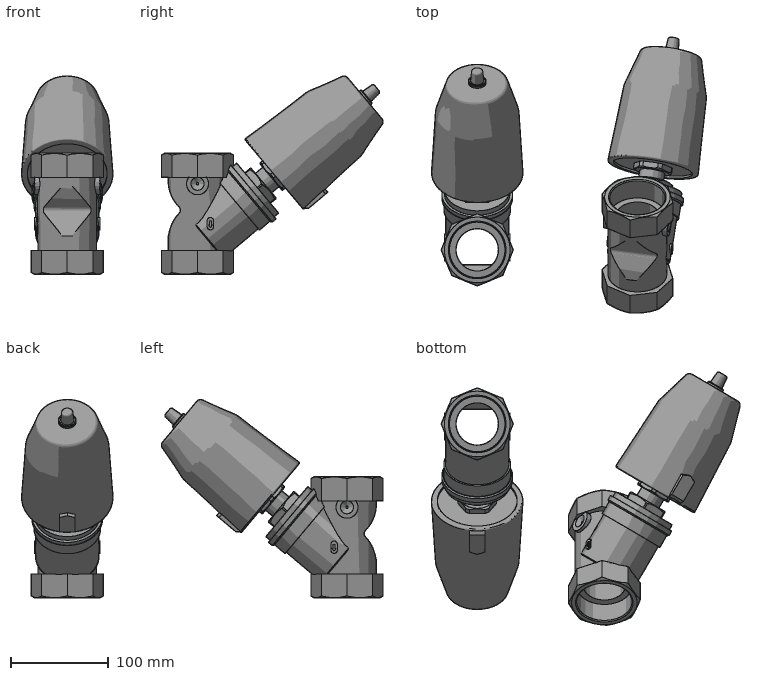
import cadquery as cq
import math


body_height = 124.0
pipe_radius = 30.2
bore_diameter = 43.0
socket_diameter = 56.7
socket_depth = 23.1
socket_chamfer = 1.1
end_nut_sides = 8
end_nut_height = 24.7
end_nut_radius = 37.0
end_nut_face_radius = 33.5
nut_chamfer_angle = 30.0

waist_height = 65.8
waist_depth_y = -17.7
waist_root_y = -19.0
waist_root_half = 3.5
waist_upper_radius = 38.3
waist_lower_middle = (-26.5, 51.0)
waist_lower_end = (-29.7, 39.2)
hump_radius = 27.2
hump_peak_y = -15.0

boss_diameter = 22.5
boss_height = 92.8
boss_reach = 33.3
dimple_diameter = 13.4
dimple_tip_diameter = 1.0
dimple_depth = 3.6

pad_width = 6.5
pad_length = 12.7
pad_y = 13.2
pad_height = 52.0
pad_reach = 33.5
arrow_depth = 0.7
arrow_shaft_width = 2.0
arrow_head_width = 4.3
arrow_tail = 3.0
arrow_neck = -1.1
arrow_tip = -4.0

lean_angle = 40.0
lean_height = 36.7
lean = cq.Plane(
    origin=(0, 0, lean_height),
    xDir=(1, 0, 0),
    normal=(0, math.cos(math.radians(lean_angle)), math.sin(math.radians(lean_angle))),
)

hexagon_sides = 6
branch_start = 7.0
branch_radius = 32.5
branch_chamfer = 1.0
neck_start = 54.0
neck_radius = 34.2
ring_start = 68.0
ring_end = 74.5
ring_radius = 36.3
ring_chamfer = 1.4
flange_end = 80.3
flange_diameter = 67.0
bonnet_nut_end = 88.2
bonnet_nut_flats = 40.8
bonnet_nut_corner_radius = 23.1
bonnet_nut_face_radius = 19.7
stem_diameter = 26.0

actuator_start = 102.0
actuator_joint = 182.8
actuator_end = 223.5
rim_radius = 47.0
joint_radius = 42.9
top_radius = 31.0
rim_fillet = 1.4
joint_fillet = 10.2
top_fillet = 5.0
recess_diameter = 81.6
recess_depth = 2.3
lower_nut_start = 98.0
lower_nut_flats = 36.3
lower_nut_corner_radius = 19.7
lower_nut_face_radius = 17.5

lug_half_width = 8.0
lug_side_end = 129.5
lug_point_end = 132.7
lug_reach = 49.5
lug_chamfer = 4.5

collar_diameter = 18.1
collar_end = 226.1
collar_chamfer = 0.7
pin_end = 239.5
pin_root_radius = 7.0
pin_tip_radius = 5.7
pin_fillet = 2.3


def leaning_disc(start, end, radius):
    """Cylinder on the leaning axis between two distances along it."""
    return cq.Workplane(lean).workplane(offset=start).circle(radius).extrude(end - start)


def chamfered_prism(sides, corner_radius, height, face_radius, limit_radius):
    """Prism standing on XY, its upper corners turned down by a cone."""
    prism = cq.Workplane("XY").polygon(sides, 2 * corner_radius).extrude(height)
    drop = (limit_radius - face_radius) * math.tan(math.radians(nut_chamfer_angle))
    blank = (
        cq.Workplane("XZ")
        .moveTo(0, 0)
        .lineTo(limit_radius, 0)
        .lineTo(limit_radius, height - drop)
        .lineTo(face_radius, height)
        .lineTo(0, height)
        .close()
        .revolve(360, (0, 0, 0), (0, 1, 0))
    )
    return prism.intersect(blank)


def on_lean(solid, distance):
    """Move a solid standing on XY to a distance along the leaning axis."""
    location = cq.Location(lean) * cq.Location(cq.Vector(0, 0, distance))
    return cq.Workplane(solid.val().moved(location))


def make_pipe():
    """Solid pipe and the octagonal nuts at its two ends."""
    pipe = cq.Workplane("XY").circle(pipe_radius).extrude(body_height)
    nut = chamfered_prism(
        end_nut_sides, end_nut_radius, end_nut_height, end_nut_face_radius, end_nut_radius
    )
    upper_nut = nut.translate((0, 0, body_height - end_nut_height))
    lower_nut = nut.mirror("XY").translate((0, 0, end_nut_height))
    return pipe, upper_nut.union(lower_nut)


def make_waist():
    """Prism along X that cuts the waist; two bulging flanks meet in a rounded root."""
    outside_y = -2 * pipe_radius
    root_top = waist_height + waist_root_half
    root_bottom = waist_height - waist_root_half
    flank_drop = math.sqrt(waist_upper_radius**2 - (waist_upper_radius - pipe_radius - waist_root_y) ** 2)
    flank_top = root_top + flank_drop
    middle_drop = flank_drop / 2
    flank_middle_y = waist_upper_radius - pipe_radius - math.sqrt(waist_upper_radius**2 - middle_drop**2)
    return (
        cq.Workplane("YZ")
        .moveTo(outside_y, flank_top)
        .lineTo(-pipe_radius, flank_top)
        .threePointArc((flank_middle_y, flank_top - middle_drop), (waist_root_y, root_top))
        .threePointArc((waist_depth_y, waist_height), (waist_root_y, root_bottom))
        .threePointArc(waist_lower_middle, waist_lower_end)
        .lineTo(outside_y, waist_lower_end[1])
        .close()
        .extrude(pipe_radius, both=True)
    )


def make_bore():
    """Through bore with a threaded socket at each end; a hump narrows the bore at the waist."""
    bore = cq.Workplane("XY").circle(bore_diameter / 2).extrude(body_height)
    hump = (
        cq.Workplane("YZ")
        .center(hump_peak_y - hump_radius, waist_height)
        .circle(hump_radius)
        .extrude(pipe_radius, both=True)
    )
    bore = bore.cut(hump)
    socket = (
        cq.Workplane("XY")
        .workplane(offset=body_height - socket_depth)
        .circle(socket_diameter / 2)
        .extrude(socket_depth)
    )
    mouth = cq.Workplane(
        cq.Solid.makeCone(
            socket_diameter / 2,
            socket_diameter / 2 + socket_chamfer,
            socket_chamfer,
            pnt=cq.Vector(0, 0, body_height - socket_chamfer),
        )
    )
    upper = socket.union(mouth)
    lower = upper.mirror("XY").translate((0, 0, body_height))
    return bore.union(upper).union(lower)


def make_bosses():
    """Round boss with a conical dimple on each side of the pipe."""
    boss = cq.Workplane("YZ").center(0, boss_height).circle(boss_diameter / 2).extrude(boss_reach)
    dimple = cq.Solid.makeCone(
        dimple_diameter / 2,
        dimple_tip_diameter / 2,
        dimple_depth,
        pnt=cq.Vector(boss_reach, 0, boss_height),
        dir=cq.Vector(-1, 0, 0),
    )
    boss = boss.cut(cq.Workplane(dimple))
    return boss.union(boss.mirror("YZ"))


def make_arrow_pads():
    """Oblong pad with an engraved arrow pointing down, on each side of the branch."""
    plane = cq.Workplane("YZ").center(pad_y, pad_height)
    pad = plane.slot2D(pad_length, pad_width, 90).extrude(pad_reach)
    arrow = (
        plane.workplane(offset=pad_reach - arrow_depth)
        .moveTo(-arrow_shaft_width / 2, arrow_tail)
        .lineTo(arrow_shaft_width / 2, arrow_tail)
        .lineTo(arrow_shaft_width / 2, arrow_neck)
        .lineTo(arrow_head_width / 2, arrow_neck)
        .lineTo(0, arrow_tip)
        .lineTo(-arrow_head_width / 2, arrow_neck)
        .lineTo(-arrow_shaft_width / 2, arrow_neck)
        .close()
        .extrude(arrow_depth)
    )
    pad = pad.cut(arrow)
    return pad.union(pad.mirror("YZ"))


def make_bonnet():
    """Branch, neck, clamping ring, flange, nut and stem."""
    lower_end = cq.selectors.DirectionMinMaxSelector(lean.zDir, directionMax=False)
    branch = leaning_disc(branch_start, neck_start, branch_radius)
    branch = branch.faces(lower_end).edges().chamfer(branch_chamfer)
    neck = leaning_disc(neck_start, ring_start, neck_radius)
    ring = leaning_disc(ring_start, ring_end, ring_radius)
    ring = ring.faces(lower_end).edges().chamfer(ring_chamfer)
    flange = leaning_disc(ring_end, flange_end, flange_diameter / 2)
    nut = chamfered_prism(
        hexagon_sides,
        bonnet_nut_flats / math.sqrt(3),
        bonnet_nut_end - flange_end,
        bonnet_nut_face_radius,
        bonnet_nut_corner_radius,
    )
    stem = leaning_disc(flange_end, actuator_start + recess_depth, stem_diameter / 2)
    bonnet = branch.union(neck).union(ring).union(flange).union(on_lean(nut, flange_end))
    return bonnet.union(stem)


def make_actuator():
    """Two stacked cones with a shallow recess and a nut underneath."""
    half_profile = [
        (0, actuator_start),
        (rim_radius, actuator_start),
        (joint_radius, actuator_joint),
        (top_radius, actuator_end),
        (0, actuator_end),
    ]
    cones = cq.Workplane("XZ").polyline(half_profile).close().revolve(360, (0, 0, 0), (0, 1, 0))
    joint_edge = cq.selectors.BoxSelector(
        (-rim_radius, -rim_radius, actuator_joint - joint_fillet),
        (rim_radius, rim_radius, actuator_joint + joint_fillet),
    )
    cones = cones.faces(">Z").edges().fillet(top_fillet)
    cones = cones.faces("<Z").edges().fillet(rim_fillet)
    cones = cones.edges("%CIRCLE").edges(joint_edge).fillet(joint_fillet)
    cones = cones.union(make_lug())
    cones = cones.faces("<Z").workplane().circle(recess_diameter / 2).cutBlind(-recess_depth)
    nut_height = actuator_start + recess_depth - lower_nut_start
    nut = chamfered_prism(
        hexagon_sides,
        lower_nut_flats / math.sqrt(3),
        nut_height,
        lower_nut_face_radius,
        lower_nut_corner_radius,
    )
    nut = nut.mirror("XY").translate((0, 0, lower_nut_start + nut_height))
    return on_lean(cones.union(nut), 0)


def make_lug():
    """Pad with a pointed end along the lower side of the actuator, bevelled at the rim."""
    pad = (
        cq.Workplane("XZ")
        .moveTo(-lug_half_width, actuator_start)
        .lineTo(lug_half_width, actuator_start)
        .lineTo(lug_half_width, lug_side_end)
        .lineTo(0, lug_point_end)
        .lineTo(-lug_half_width, lug_side_end)
        .close()
        .extrude(-lug_reach)
    )
    return pad.faces("<Z").edges(">Y").chamfer(lug_chamfer)


def make_pin():
    """Indicator pin and its collar on the actuator top."""
    collar = leaning_disc(actuator_end, collar_end, collar_diameter / 2)
    collar = collar.faces(cq.selectors.DirectionMinMaxSelector(lean.zDir)).edges().chamfer(collar_chamfer)
    pin = cq.Workplane(
        cq.Solid.makeCone(pin_root_radius, pin_tip_radius, pin_end - actuator_end)
    )
    pin = pin.faces(">Z").edges().fillet(pin_fillet)
    return collar.union(on_lean(pin, actuator_end))


pipe, end_nuts = make_pipe()
body = pipe.cut(make_waist())
body = body.union(end_nuts).union(make_bonnet()).union(make_bosses()).union(make_arrow_pads())
body = body.cut(make_bore())
result = body.union(make_actuator()).union(make_pin())